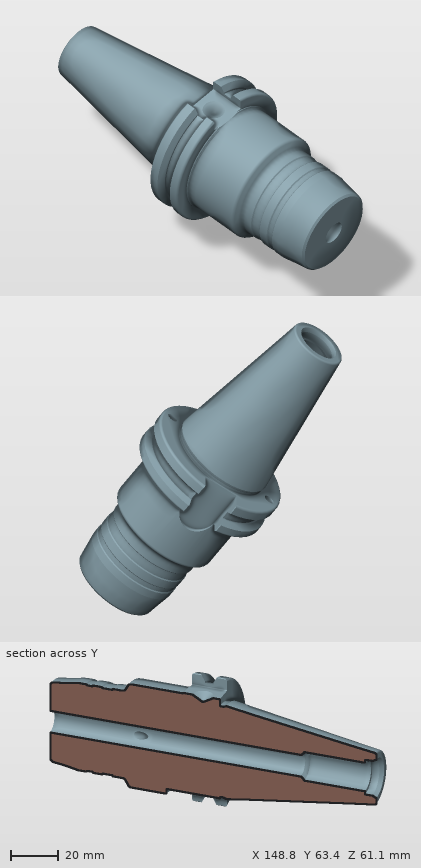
import cadquery as cq
import math

TOTAL_LENGTH = 148.8
TAPER_LENGTH = 68.4
TAPER_LARGE_DIA = 44.6
TAPER_RATIO = 7 / 24
SMALL_END_ROUND = 0.7
NECK_DIA = 43.6
NECK_START = 69.8
NECK_FILLET = 0.3

FLANGE_START = 71.3
FLANGE_WIDTH = 15.9
FLANGE_DIA = 63.4
FLANGE_ROUND = 1.0
GROOVE_MIDDLE = 79.5
GROOVE_FLOOR_DIA = 56.2
GROOVE_FLOOR_WIDTH = 3.9
GROOVE_SHOULDER_DIA = 57.7
GROOVE_WALL_ANGLE = 30.0

BODY_DIA = 49.5
BODY_ROOT_FILLET = 0.9
SHOULDER_LENGTH = 0.5
BODY_END = 111.9
BODY_STEP_ANGLE = 60.0
BODY_STEP_FILLET = 1.6
NOSE_DIA = 42.0
BAND_DIA = 41.0
BAND_SPANS = ((120.2, 125.2), (129.3, 132.4))
NOSE_TAPER_START = 136.0
NOSE_TIP_DIA = 38.1
NOSE_TIP_CHAMFER = 0.9

ENTRY_CHAMFER_DIA = 18.3
ENTRY_CHAMFER_LENGTH = 1.8
COUNTERBORE_DIA = 16.4
COUNTERBORE_DEPTH = 5.0
THREAD_BORE_DIA = 13.4
THREAD_BORE_DEPTH = 32.7
THROUGH_DIA = 10.1

SLOT_WIDTH = 16.4
SLOT_EDGE_CHAMFER = 0.3
TOP_SLOT_FLOOR = 25.0
BOTTOM_SLOT_FLOOR = 22.5
SLOT_FLOOR_FILLET = 0.5
BOTTOM_SLOT_END = 95.6
DIMPLE_DIA = 9.5
DIMPLE_TIP_ANGLE = 120.0

COOLANT_CIRCLE_DIA = 53.8
COOLANT_ANGLE = 20.0
COOLANT_SLANT = 30.0
COOLANT_ENTRY_DIA = 4.0
COOLANT_ENTRY_DEPTH = 2.0
COOLANT_FEED_DIA = 3.3

flange_end = FLANGE_START + FLANGE_WIDTH
flange_middle = FLANGE_START + FLANGE_WIDTH / 2


def revolve_about_x(profile):
    return profile.close().revolve(360, (0, 0, 0), (1, 0, 0))


def make_shank():
    """Taper, flange blank and stepped body as one turned profile."""
    large_r = TAPER_LARGE_DIA / 2
    small_r = large_r - TAPER_LENGTH * TAPER_RATIO / 2
    half_angle = math.atan(TAPER_RATIO / 2)
    round_x = SMALL_END_ROUND * math.cos(half_angle)
    round_rise = SMALL_END_ROUND * math.sin(half_angle)
    round_radius = SMALL_END_ROUND * math.tan(math.pi / 4 + half_angle / 2)
    flange_r = FLANGE_DIA / 2
    neck_r = NECK_DIA / 2
    body_r = BODY_DIA / 2
    shoulder_r = body_r + BODY_ROOT_FILLET
    shoulder_end = flange_end + SHOULDER_LENGTH
    nose_r = NOSE_DIA / 2
    tip_r = NOSE_TIP_DIA / 2
    step_angle = math.radians(BODY_STEP_ANGLE)
    arc_x = BODY_STEP_FILLET * math.sin(step_angle)
    arc_r = BODY_STEP_FILLET * (1 - math.cos(step_angle))
    slope_x = (body_r - nose_r - 2 * arc_r) / math.tan(step_angle)
    step_end = BODY_END + 2 * arc_x + slope_x
    profile = (
        cq.Workplane("XY")
        .moveTo(0, 0)
        .lineTo(0, small_r - SMALL_END_ROUND)
        .radiusArc((round_x, small_r + round_rise), round_radius)
        .lineTo(TAPER_LENGTH, large_r)
        .lineTo(NECK_START, neck_r)
        .lineTo(FLANGE_START - NECK_FILLET, neck_r)
        .radiusArc((FLANGE_START, neck_r + NECK_FILLET), -NECK_FILLET)
        .lineTo(FLANGE_START, flange_r - FLANGE_ROUND)
        .radiusArc((FLANGE_START + FLANGE_ROUND, flange_r), FLANGE_ROUND)
        .lineTo(flange_end - FLANGE_ROUND, flange_r)
        .radiusArc((flange_end, flange_r - FLANGE_ROUND), FLANGE_ROUND)
        .lineTo(flange_end, shoulder_r)
        .lineTo(shoulder_end, shoulder_r)
        .radiusArc((shoulder_end + BODY_ROOT_FILLET, body_r), -BODY_ROOT_FILLET)
        .lineTo(BODY_END, body_r)
        .radiusArc((BODY_END + arc_x, body_r - arc_r), BODY_STEP_FILLET)
        .lineTo(step_end - arc_x, nose_r + arc_r)
        .radiusArc((step_end, nose_r), -BODY_STEP_FILLET)
        .lineTo(NOSE_TAPER_START, nose_r)
        .lineTo(TOTAL_LENGTH - NOSE_TIP_CHAMFER, tip_r)
        .lineTo(TOTAL_LENGTH, tip_r - NOSE_TIP_CHAMFER)
        .lineTo(TOTAL_LENGTH, 0)
    )
    return revolve_about_x(profile)


def make_gripper_groove():
    """Ring with sloping walls and a short square-sided floor."""
    flange_r = FLANGE_DIA / 2
    shoulder_r = GROOVE_SHOULDER_DIA / 2
    floor_r = GROOVE_FLOOR_DIA / 2
    half_floor = GROOVE_FLOOR_WIDTH / 2
    half_mouth = half_floor + (flange_r - shoulder_r) * math.tan(math.radians(GROOVE_WALL_ANGLE))
    profile = (
        cq.Workplane("XY")
        .moveTo(GROOVE_MIDDLE - half_mouth, flange_r)
        .lineTo(GROOVE_MIDDLE - half_floor, shoulder_r)
        .lineTo(GROOVE_MIDDLE - half_floor, floor_r)
        .lineTo(GROOVE_MIDDLE + half_floor, floor_r)
        .lineTo(GROOVE_MIDDLE + half_floor, shoulder_r)
        .lineTo(GROOVE_MIDDLE + half_mouth, flange_r)
    )
    return revolve_about_x(profile)


def make_nose_band(start, end):
    """Shallow ring with 45 degree ends."""
    nose_r = NOSE_DIA / 2
    band_r = BAND_DIA / 2
    depth = nose_r - band_r
    profile = (
        cq.Workplane("XY")
        .moveTo(start, nose_r)
        .lineTo(start + depth, band_r)
        .lineTo(end - depth, band_r)
        .lineTo(end, nose_r)
    )
    return revolve_about_x(profile)


def make_bore():
    """Through hole, threaded section with a drill-point end, counterbore and entry chamfer."""
    entry_r = ENTRY_CHAMFER_DIA / 2
    counterbore_r = COUNTERBORE_DIA / 2
    thread_r = THREAD_BORE_DIA / 2
    through_r = THROUGH_DIA / 2
    profile = (
        cq.Workplane("XY")
        .moveTo(0, 0)
        .lineTo(0, entry_r)
        .lineTo(ENTRY_CHAMFER_LENGTH, counterbore_r)
        .lineTo(COUNTERBORE_DEPTH, counterbore_r)
        .lineTo(COUNTERBORE_DEPTH, thread_r)
        .lineTo(THREAD_BORE_DEPTH, thread_r)
        .lineTo(THREAD_BORE_DEPTH + thread_r - through_r, through_r)
        .lineTo(TOTAL_LENGTH, through_r)
        .lineTo(TOTAL_LENGTH, 0)
    )
    return revolve_about_x(profile)


def make_top_slot():
    """Straight slot across the flange, just clearing the body."""
    return (
        cq.Workplane("XY", origin=(flange_middle, 0, TOP_SLOT_FLOOR))
        .rect(2 * FLANGE_WIDTH, SLOT_WIDTH)
        .extrude(FLANGE_DIA / 2)
        .edges("<Z and |X")
        .fillet(SLOT_FLOOR_FILLET)
    )


def make_bottom_slot():
    """Deeper slot that runs into the body and ends in a half circle."""
    half_width = SLOT_WIDTH / 2
    start = FLANGE_START - FLANGE_WIDTH / 2
    return (
        cq.Workplane("XY", origin=(0, 0, -BOTTOM_SLOT_FLOOR))
        .moveTo(start, half_width)
        .lineTo(BOTTOM_SLOT_END - half_width, half_width)
        .threePointArc((BOTTOM_SLOT_END, 0), (BOTTOM_SLOT_END - half_width, -half_width))
        .lineTo(start, -half_width)
        .close()
        .extrude(-FLANGE_DIA / 2)
    )


def make_slot_edge_chamfers():
    """45 degree wedges that break the slot edges at the flange rim, at +Z and -Z."""
    rim_half_width = SLOT_WIDTH / 2 + SLOT_EDGE_CHAMFER
    rim_z = math.sqrt((FLANGE_DIA / 2) ** 2 - rim_half_width**2)
    overshoot = rim_z - TOP_SLOT_FLOOR
    wedge = (
        cq.Workplane("YZ", origin=(FLANGE_START, 0, rim_z))
        .moveTo(-rim_half_width - overshoot, overshoot)
        .lineTo(-rim_half_width + SLOT_EDGE_CHAMFER, -SLOT_EDGE_CHAMFER)
        .lineTo(rim_half_width - SLOT_EDGE_CHAMFER, -SLOT_EDGE_CHAMFER)
        .lineTo(rim_half_width + overshoot, overshoot)
        .close()
        .extrude(FLANGE_WIDTH)
    )
    return wedge.union(wedge.rotate((0, 0, 0), (1, 0, 0), 180))


def make_dimple():
    """Conical dimple in the floor of the top slot."""
    radius = DIMPLE_DIA / 2
    depth = radius / math.tan(math.radians(DIMPLE_TIP_ANGLE / 2))
    cone = cq.Solid.makeCone(
        radius, 0, depth, cq.Vector(flange_middle, 0, TOP_SLOT_FLOOR), cq.Vector(0, 0, -1)
    )
    return cq.Workplane(cone)


def make_coolant_holes():
    """Two opposite stepped holes, slanting from the flange face towards the axis."""
    circle_r = COOLANT_CIRCLE_DIA / 2
    slant = math.radians(COOLANT_SLANT)
    direction = cq.Vector(math.cos(slant), -math.sin(slant), 0)
    face_point = cq.Vector(FLANGE_START, circle_r, 0)
    overshoot = COOLANT_ENTRY_DIA
    entry = cq.Solid.makeCylinder(
        COOLANT_ENTRY_DIA / 2,
        COOLANT_ENTRY_DEPTH + overshoot,
        face_point - direction * overshoot,
        direction,
    )
    feed_length = circle_r / math.sin(slant)
    feed = cq.Solid.makeCylinder(COOLANT_FEED_DIA / 2, feed_length, face_point, direction)
    hole = cq.Workplane(entry).union(cq.Workplane(feed))
    first = hole.rotate((0, 0, 0), (1, 0, 0), COOLANT_ANGLE)
    return first.union(first.rotate((0, 0, 0), (1, 0, 0), 180))


result = make_shank().cut(make_gripper_groove())
for band_start, band_end in BAND_SPANS:
    result = result.cut(make_nose_band(band_start, band_end))
cutters = (
    make_bore(),
    make_top_slot(),
    make_bottom_slot(),
    make_slot_edge_chamfers(),
    make_dimple(),
    make_coolant_holes(),
)
for cutter in cutters:
    result = result.cut(cutter)